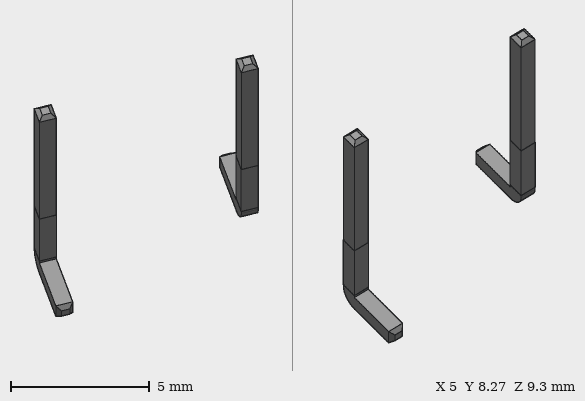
import cadquery as cq

pin_height = 9.3
foot_reach = 2.5
pin_pitch = 7.62

wire_width = 0.64
half_wire = wire_width / 2
tip_taper = wire_width / 4

collar_width = 0.65
collar_bottom = 0.75
collar_top = 3.29


def make_post():
    """Upright square bar with a tapered top, standing on the bend."""
    bar_height = pin_height - wire_width
    post = cq.Workplane("XY").workplane(offset=wire_width).rect(wire_width, wire_width).extrude(bar_height)
    return post.faces(">Z").chamfer(tip_taper)


def make_bend():
    """Quarter-round elbow centred on the inner corner between post and foot."""
    return (
        cq.Workplane("XZ")
        .moveTo(half_wire, wire_width)
        .lineTo(-half_wire, wire_width)
        .radiusArc((half_wire, 0), -wire_width)
        .close()
        .extrude(half_wire, both=True)
    )


def make_foot():
    """Horizontal square bar pointing along +X, with a tapered tip."""
    foot = (
        cq.Workplane("YZ", origin=(half_wire, 0, half_wire))
        .rect(wire_width, wire_width)
        .extrude(foot_reach - half_wire)
    )
    return foot.faces(">X").chamfer(tip_taper)


def make_collar():
    """Thicker length of the post just above the bend."""
    return (
        cq.Workplane("XY")
        .workplane(offset=collar_bottom)
        .rect(collar_width, collar_width)
        .extrude(collar_top - collar_bottom)
    )


def make_bent_pin():
    return make_post().union(make_bend()).union(make_foot()).union(make_collar())


front_pin = make_bent_pin().translate((0, -pin_pitch / 2, 0))
bent_pins = []
for turn in (0, 180):
    bent_pins.append(front_pin.rotate((0, 0, 0), (0, 0, 1), turn).val())

result = cq.Compound.makeCompound(bent_pins)